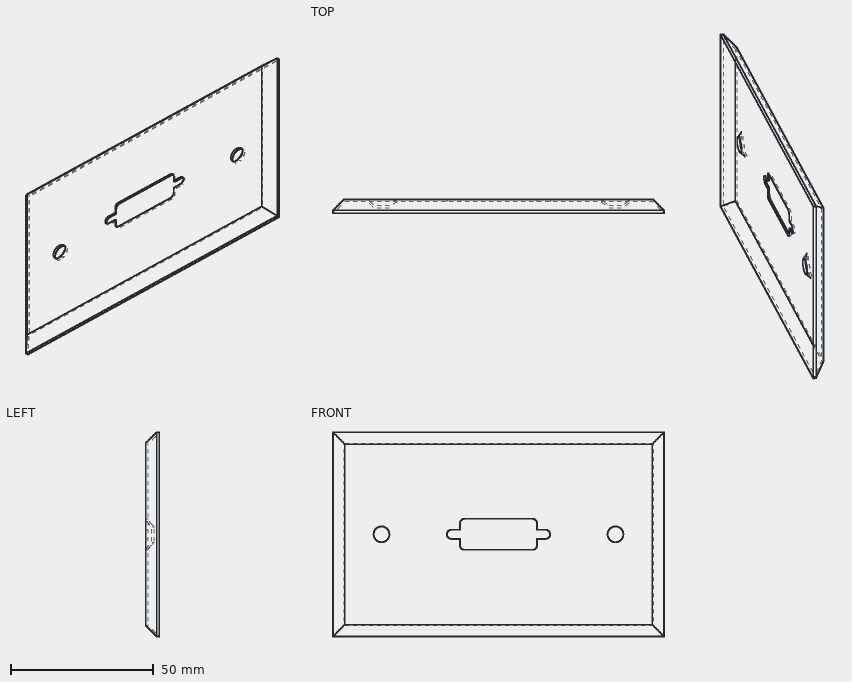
import cadquery as cq
import math

length = 116.1
height = 71.6
depth = 4.9
sheet = 0.7
floor_front = depth - sheet
rim_width = sheet * math.sqrt(2)

window_length = 26.9
window_height = 10.8
window_corner = 1.5
slot_length = 36.1
slot_height = 3.1

screw_offset = 41.0
hole_diameter = 5.5
hole_radius = hole_diameter / 2
collar_radius = 6.4
blend_radius = 3.4
cone_angle = math.radians(45)


def frustum(y_start, y_end):
    """Rectangular block tapering at 45 degrees from full size at y_start to y_end."""
    rise = y_end - y_start
    return (
        cq.Workplane("XZ", origin=(0, y_start, 0))
        .rect(length, height)
        .workplane(offset=-rise)
        .rect(length - 2 * rise, height - 2 * rise)
        .loft(ruled=True)
    )


def dished_plate():
    rim = cq.Workplane("XZ").rect(length, height).extrude(-rim_width)
    outside = rim.union(frustum(rim_width, depth))
    return outside.cut(frustum(0, floor_front))


def through_cutter(sketch):
    return sketch.extrude(-2 * depth)


def connector_cutout():
    window = through_cutter(cq.Workplane("XZ").rect(window_length, window_height))
    window = window.edges("|Y").fillet(window_corner)
    slot = through_cutter(cq.Workplane("XZ").slot2D(slot_length, slot_height))
    return window.union(slot)


def blend_point(radius, angle):
    """Point on a blend arc centred in front of the floor at the collar's outer edge."""
    return (
        collar_radius - radius * math.sin(angle),
        floor_front - blend_radius + radius * math.cos(angle),
    )


def cone_tip(blend_end):
    """Point where the straight cone leaving blend_end meets the screw hole."""
    run = blend_end[0] - hole_radius
    return (hole_radius, blend_end[1] - run * math.tan(cone_angle))


def screw_collar(x):
    back_radius = blend_radius + sheet
    front_end = blend_point(blend_radius, cone_angle)
    back_end = blend_point(back_radius, cone_angle)
    profile = (
        cq.Workplane("XY")
        .moveTo(*blend_point(blend_radius, 0))
        .threePointArc(blend_point(blend_radius, cone_angle / 2), front_end)
        .lineTo(*cone_tip(front_end))
        .lineTo(*cone_tip(back_end))
        .lineTo(*back_end)
        .threePointArc(blend_point(back_radius, cone_angle / 2), blend_point(back_radius, 0))
        .close()
    )
    return profile.revolve(360, (0, 0, 0), (0, 1, 0)).translate((x, 0, 0))


result = dished_plate().cut(connector_cutout())
for x in (-screw_offset, screw_offset):
    opening = through_cutter(cq.Workplane("XZ").center(x, 0).circle(collar_radius))
    result = result.cut(opening).union(screw_collar(x))